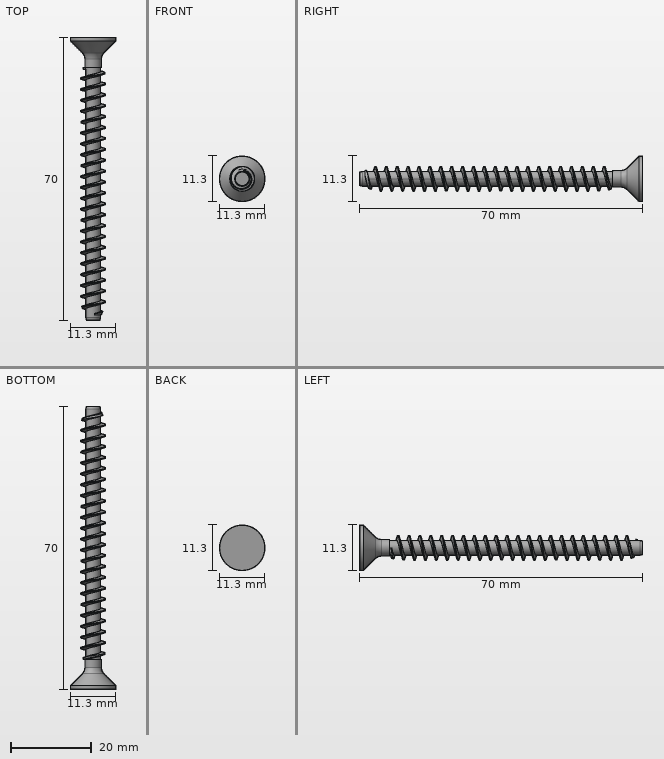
import cadquery as cq

LENGTH = 70.0

HEAD_RADIUS = 11.3 / 2
RIM_HEIGHT = 0.9
NECK_RADIUS = 4.1 / 2
NECK_END = 7.4
NECK_BLEND_RADIUS = 2.1

CORE_RADIUS = 3.7 / 2
TIP_RADIUS = 1.7
TIP_TAPER_LENGTH = 0.7

PITCH = 5.4 / 2
CREST_RADIUS = 3.1
ROOT_WIDTH = 0.9
CREST_WIDTH = 0.2
ROOT_OVERLAP = 0.15
THREAD_START = 7.5
THREAD_END = 68.75
START_CREST_RADIUS = 2.45
END_CREST_RADIUS = 2.0
RUN_IN_LENGTH = 2.25
RUN_OUT_LENGTH = 3.1


def make_body():
    """Revolve the head, its 45 degree cone, the neck and the core."""
    cone_end = RIM_HEIGHT + HEAD_RADIUS - NECK_RADIUS
    head_and_neck = (
        cq.Workplane("XZ")
        .moveTo(0, 0)
        .lineTo(HEAD_RADIUS, 0)
        .lineTo(HEAD_RADIUS, RIM_HEIGHT)
        .lineTo(NECK_RADIUS, cone_end)
        .lineTo(NECK_RADIUS, NECK_END)
        .lineTo(0, NECK_END)
        .close()
        .revolve(360, (0, 0), (0, 1))
    )
    cone_foot = cq.selectors.NearestToPointSelector((NECK_RADIUS, 0, cone_end))
    head_and_neck = head_and_neck.edges("%CIRCLE").edges(cone_foot).fillet(NECK_BLEND_RADIUS)

    core = (
        cq.Workplane("XZ")
        .moveTo(0, RIM_HEIGHT)
        .lineTo(CORE_RADIUS, RIM_HEIGHT)
        .lineTo(CORE_RADIUS, LENGTH - TIP_TAPER_LENGTH)
        .lineTo(TIP_RADIUS, LENGTH)
        .lineTo(0, LENGTH)
        .close()
        .revolve(360, (0, 0), (0, 1))
    )
    return head_and_neck.union(core)


def make_thread():
    """Sweep a trapezoid along a right-hand helix and trim both ends to cones."""
    root_radius = CORE_RADIUS - ROOT_OVERLAP
    helix = cq.Wire.makeHelix(PITCH, THREAD_END - THREAD_START, root_radius)
    ridge = (
        cq.Workplane("XZ")
        .polyline([
            (root_radius, -ROOT_WIDTH / 2),
            (CREST_RADIUS, -CREST_WIDTH / 2),
            (CREST_RADIUS, CREST_WIDTH / 2),
            (root_radius, ROOT_WIDTH / 2),
        ])
        .close()
        .sweep(cq.Workplane(obj=helix), isFrenet=True)
        .rotate((0, 0, 0), (0, 0, 1), 180)
        .translate((0, 0, THREAD_START))
    )
    envelope = (
        cq.Workplane("XZ")
        .moveTo(0, NECK_END)
        .lineTo(START_CREST_RADIUS, NECK_END)
        .lineTo(CREST_RADIUS + ROOT_OVERLAP, NECK_END + RUN_IN_LENGTH)
        .lineTo(CREST_RADIUS + ROOT_OVERLAP, THREAD_END - RUN_OUT_LENGTH)
        .lineTo(END_CREST_RADIUS, THREAD_END)
        .lineTo(0, THREAD_END)
        .close()
        .revolve(360, (0, 0), (0, 1))
    )
    return ridge.intersect(envelope)


screw = make_body().union(make_thread())
result = screw.rotate((0, 0, 0), (1, 0, 0), 90)